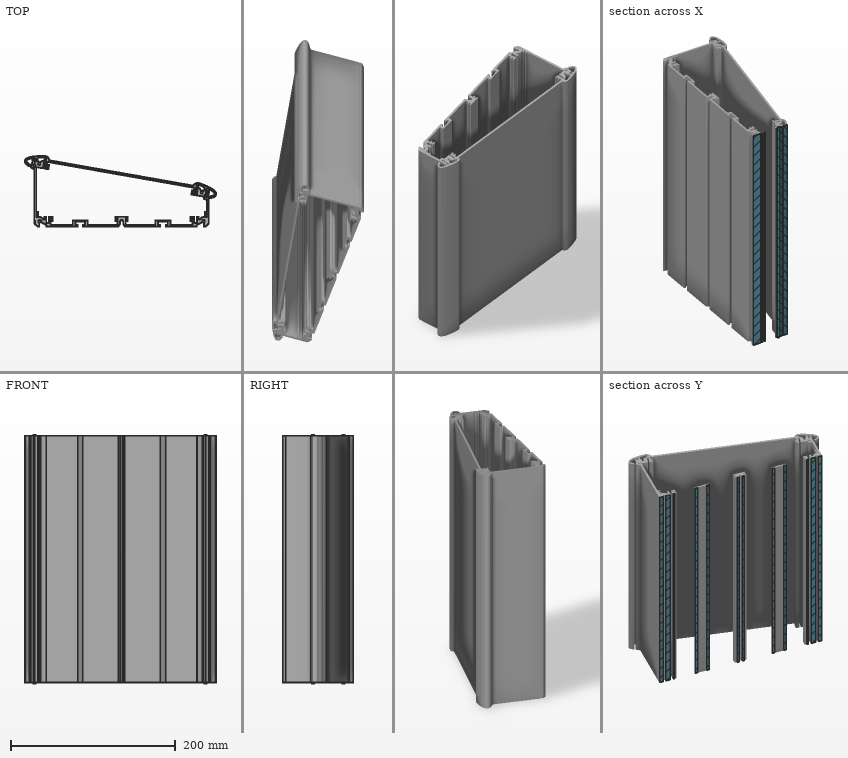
import cadquery as cq


pin_length = 302.3
profile_length = 300.0
pin_diameter = 3.0
lid_angle = 10.0
lid_origin = (-0.3, 65.3)
sheet = 2.57

half_width = 106.0
wall_inner = half_width - sheet
high_wall_top = 72.0
low_wall_top = 43.5
rail_top = 12.0
block_top = 11.8

channel_diameter = 3.0
channel_height = 6.5
corner_channel_x = 99.5

fin_reach = 2.5
fin_thickness = 1.8
fin_pitch = 3.5

slot_x = 50.2
slot_outer_half = 9.5
slot_inner_half = 5.7
slot_mouth_half = 3.3
slot_roof_top = 7.5
slot_roof_bottom = 5.7

rib_half = 5.0

pin_r = 105.5
pin_v = -10.0
shell_end = (107.3, 1.5)
shell_bottom_v = -1.0
lid_bottom_v = -11.2
lid_face_r = 105.8
web_outer_r = 105.0
guide_r = 90.5
guide_thickness = 2.27
guide_bottom_v = -11.2


def extruded(outline, length=profile_length):
    """Close an outline in the XY plane and extrude it, centred on Z = 0."""
    return outline.close().extrude(length / 2, both=True)


def prism(points):
    return extruded(cq.Workplane("XY").polyline(points))


def box(x0, y0, x1, y1):
    return prism([(x0, y0), (x1, y0), (x1, y1), (x0, y1)])


def rod(x, y, diameter, length):
    return cq.Workplane("XY").center(x, y).circle(diameter / 2).extrude(length / 2, both=True)


def both_sides(body):
    return body.union(body.mirror("YZ"))


def tilted(body):
    """Move a body from the lid's own axes to its place on the enclosure."""
    return body.rotate((0, 0, 0), (0, 0, 1), -lid_angle).translate((*lid_origin, 0))


def guide_fins(root_x, top_y, direction):
    """A pair of fins standing out sideways from root_x, the upper one flush with top_y."""
    upper = box(root_x, top_y - fin_thickness, root_x + direction * fin_reach, top_y)
    return upper.union(upper.translate((0, -fin_pitch, 0)))


def hinge_pin(side):
    return tilted(rod(side * pin_r, pin_v, pin_diameter, pin_length))


pins = [hinge_pin(side) for side in (-1, 1)]


def lid_plate():
    plate_half = 94.5
    return box(-plate_half, -sheet, plate_half, 0)


def lid_end():
    """Shell, web and screw channel at the right end of the lid."""
    shell_start = (89.0, 0)
    channel_outer_r = 94.5
    channel_left_r = 99.2
    channel_right_r = 101.3
    channel_bottom_v = -7.5
    web_inner_r = 102.8
    web_inner_bottom_v = -3.5
    web_outer_bottom_v = -4.8
    outer = extruded(
        cq.Workplane("XY")
        .moveTo(*shell_start)
        .threePointArc((91.0, 3.0), (94.5, 4.2))
        .threePointArc((101.0, 3.3), shell_end)
        .lineTo(shell_end[0], shell_bottom_v)
        .lineTo(web_outer_r, shell_bottom_v)
        .lineTo(web_outer_r, web_outer_bottom_v)
        .lineTo(lid_face_r, web_outer_bottom_v)
        .lineTo(lid_face_r, lid_bottom_v)
        .lineTo(channel_outer_r, lid_bottom_v)
        .lineTo(channel_outer_r, -sheet)
        .lineTo(shell_start[0], -sheet)
    )
    cavity = prism(
        [
            (92.5, 0),
            (93.0, 1.5),
            (94.5, 2.0),
            (web_inner_r, 0.3),
            (web_inner_r, web_inner_bottom_v),
            (channel_right_r, web_inner_bottom_v),
            (channel_right_r, channel_bottom_v),
            (channel_left_r, channel_bottom_v),
            (channel_left_r, -4.2),
            (96.7, -1.8),
            (94.3, -1.5),
        ]
    )
    return outer.cut(cavity)


def lid_guide():
    stem = box(guide_r, guide_bottom_v, guide_r + guide_thickness, -sheet)
    return stem.union(guide_fins(guide_r, guide_bottom_v + fin_pitch + fin_thickness, -1))


def lid_bulb():
    """Hollow rounded edge outside the joint: shell, nose, and a straight leg with a free end."""
    leg_start = (116.0, -9.5)
    leg_end_r = 111.5
    rib_r = 109.5
    rib_bottom_v = -2.5
    return extruded(
        cq.Workplane("XY")
        .moveTo(*shell_end)
        .threePointArc((112.2, 0.0), (116.0, -2.5))
        .threePointArc((118.0, -5.7), leg_start)
        .lineTo(leg_end_r, -11.8)
        .lineTo(leg_end_r, -9.0)
        .lineTo(114.3, -8.0)
        .threePointArc((115.8, -5.7), (114.3, -3.5))
        .lineTo(rib_r, shell_bottom_v)
        .lineTo(rib_r, rib_bottom_v)
        .lineTo(shell_end[0], rib_bottom_v)
    )


lid = lid_plate().union(both_sides(lid_end().union(lid_bulb()).union(lid_guide())))
lid = tilted(lid)


def floor():
    floor_half = 86.2
    return box(-floor_half, 0, floor_half, sheet)


def base_corner():
    """Right corner: screw channel block, clip finger and card guides."""
    guide_x = 86.0
    block = prism(
        [
            (guide_x, 0),
            (91.3, 0),
            (91.5, 2.0),
            (98.2, 5.5),
            (98.2, channel_height),
            (99.8, channel_height),
            (99.8, 0),
            (102.0, 0),
            (half_width, 4.0),
            (half_width, block_top),
            (99.0, block_top),
            (96.7, 11.0),
            (95.0, 8.8),
            (93.7, 8.8),
            (93.7, rail_top),
            (91.3, rail_top),
            (91.3, 4.5),
            (88.3, 4.5),
            (88.3, rail_top),
            (guide_x, rail_top),
        ]
    )
    channel = rod(corner_channel_x, channel_height, channel_diameter, profile_length)
    wall_guide_top = 18.0
    return (
        block.cut(channel)
        .union(guide_fins(guide_x, rail_top, -1))
        .union(guide_fins(wall_inner, wall_guide_top, -1))
    )


def middle_rib():
    stem = box(-rib_half, 0, rib_half, rail_top)
    return stem.union(both_sides(guide_fins(rib_half, rail_top, 1)))


def middle_channel():
    neck_half = 1.8
    bend_half = 3.0
    mouth_half = 4.0
    neck = prism(
        [
            (-mouth_half, 0),
            (-bend_half, 1.5),
            (-neck_half, 3.5),
            (-neck_half, channel_height),
            (neck_half, channel_height),
            (neck_half, 3.5),
            (bend_half, 1.5),
            (mouth_half, 0),
        ]
    )
    return neck.union(rod(0, channel_height, channel_diameter, profile_length))


def slot_housing():
    return box(slot_x - slot_outer_half, 0, slot_x + slot_outer_half, slot_roof_top)


def slot_opening():
    inside = box(slot_x - slot_inner_half, sheet, slot_x + slot_inner_half, slot_roof_bottom)
    return inside.union(box(slot_x - slot_mouth_half, 0, slot_x + slot_mouth_half, sheet))


def wall_groove(y):
    depth = 1.0
    half_height = 0.45
    return box(-half_width, y - half_height, depth - half_width, y + half_height)


def high_wall():
    """Left wall with the headed arm that reaches up past the high pin."""
    wall = box(-half_width, block_top, -wall_inner, high_wall_top)
    arm_outer_r = 108.8
    head_inner_r = 105.2
    head_top = -3.5
    head_bottom = -4.5
    arm = prism(
        [
            (arm_outer_r, head_top),
            (head_inner_r, head_top),
            (head_inner_r, head_bottom),
            (lid_face_r, head_bottom),
            (lid_face_r, lid_bottom_v),
            (102.8, lid_bottom_v),
            (103.5, -13.3),
            (105.2, -14.2),
            (109.5, -12.5),
            (109.7, -10.3),
            (arm_outer_r, -9.0),
        ]
    )
    return wall.union(tilted(arm.mirror("YZ")))


def low_wall():
    """Right wall with a hooked top edge and the ledge under the low pin."""
    wall = box(wall_inner, block_top, half_width, low_wall_top)
    hook_bottom = 41.0
    hook_outer = 106.7
    hook = box(wall_inner, hook_bottom, hook_outer, low_wall_top)
    ledge = prism([(103.5, lid_bottom_v), (107.5, lid_bottom_v), (108.2, -14.0), (105.0, -14.2), (103.7, -13.3)])
    return wall.union(hook).union(tilted(ledge))


base = (
    floor()
    .union(both_sides(base_corner()))
    .union(middle_rib())
    .cut(middle_channel())
    .union(both_sides(slot_housing()))
    .cut(both_sides(slot_opening()))
    .union(high_wall())
    .union(low_wall())
)

for groove_y in (4.5, 6.5):
    base = base.cut(wall_groove(groove_y))

for pin in pins:
    base = base.cut(pin)
    lid = lid.cut(pin)

result = cq.Compound.makeCompound([base.val(), lid.val(), *[pin.val() for pin in pins]])